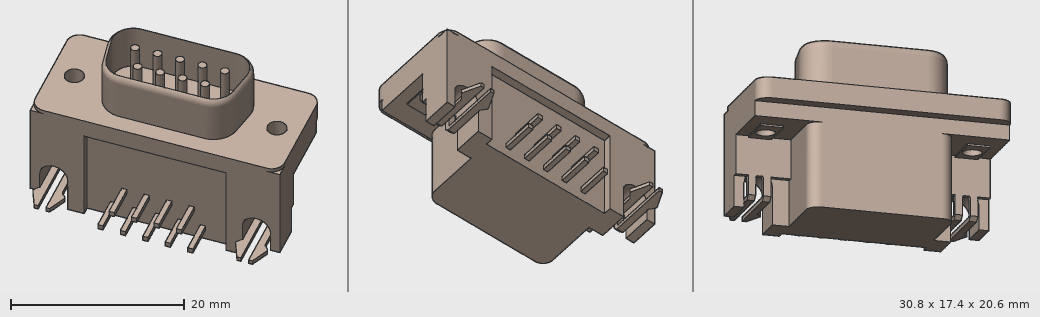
import cadquery as cq
import math


width = 30.8
flange_top = 14.67
flange_thickness = 2.53
flange_corner = 1.6
flange_back = 13.55
block_back = flange_back - flange_corner
block_bottom = 10.32
corner_notch_depth = 0.5

wall_depth = 4.5
wall_step_z = 5.58
lower_wall_depth = 3.85
ear_bottom = 1.82
foot_width = 21.57

insulator_width = 17.5
insulator_corner = 1.45
recess_depth = 1.0
recess_top = 12.25

shell_center_y = 6.75
shell_mean_width = 17.25
shell_depth = 9.18
shell_tilt = math.radians(10)
shell_corner = 3.05
shell_wall = 0.45
shell_top = 20.65
rim_radius = 1.1

pitch = 2.77
row_gap = 2.83
contact_diameter = 1.02
contact_top = 20.18
tail_size = 0.65
tail_length = 3.17
tail_rows = ((5, 1.7), (4, 4.25))

mount_x = 12.5
mount_hole_diameter = 2.3
arch_radius = 1.73
arch_top = 6.25
clip_width = 2.75
clip_slot = 0.95
clip_slot_top = 5.7
clip_bottom = 2.68
clip_thickness = 0.55
clip_outer_bend = 0.52
clip_inner_bend = 0.15
clip_tip_y = -3.82
clip_tip_half_width = 0.95
barb_start_y = -0.77
barb_y = -1.5
barb_round = 0.28
barb_half_width = 2.0
clip_pad_back = 9.25
clip_pad_drop = 0.22


def box(x_size, y_min, y_max, z_min, z_max, x_center=0.0):
    """Block centred on x_center and spanning the given Y and Z ranges."""
    return (
        cq.Workplane("XY")
        .box(x_size, y_max - y_min, z_max - z_min, centered=(True, False, False))
        .translate((x_center, y_min, z_min))
    )


def make_housing():
    """Flange, upper block, front wall, feet and rear insulator."""
    flange_bottom = flange_top - flange_thickness
    flange = box(width, 0, flange_back, flange_bottom, flange_top).edges("|Z").fillet(flange_corner)
    block = box(width, 0, block_back, block_bottom, flange_top - corner_notch_depth)
    wall = box(width, 0, wall_depth, wall_step_z, block_bottom)
    ears = box(width, 0, lower_wall_depth, ear_bottom, wall_step_z)
    feet = box(foot_width, 0, lower_wall_depth, 0, ear_bottom)
    insulator = box(insulator_width, 0, block_back, 0, block_bottom)
    insulator = insulator.edges("|Z and >Y").fillet(insulator_corner)
    recess = box(insulator_width, 0, recess_depth, 0, recess_top)
    return flange.union(block).union(wall).union(ears).union(feet).union(insulator).cut(recess)


def shell_prism(inset, z_min, z_max):
    """D-shaped prism, inset evenly from the outside of the shell."""
    half_depth = shell_depth / 2 - inset
    mean_half_width = shell_mean_width / 2 - inset / math.cos(shell_tilt)
    lean = half_depth * math.tan(shell_tilt)
    back_half = mean_half_width + lean
    front_half = mean_half_width - lean
    corners = [
        (-front_half, -half_depth),
        (front_half, -half_depth),
        (back_half, half_depth),
        (-back_half, half_depth),
    ]
    prism = cq.Workplane("XY").polyline(corners).close().extrude(z_max - z_min)
    prism = prism.edges("|Z").fillet(shell_corner - inset)
    return prism.translate((0, shell_center_y, z_min))


def make_shell():
    """Thin shell whose rounded rim is cut off by the inner wall before it becomes flat."""
    rim_rise = math.sqrt(rim_radius**2 - (rim_radius - shell_wall) ** 2)
    full_round_top = shell_top - rim_rise + rim_radius
    outer = shell_prism(0, flange_top, full_round_top).faces(">Z").edges().fillet(rim_radius)
    return outer.cut(shell_prism(shell_wall, flange_top, full_round_top))


def row_positions(count):
    """X places of a centred row of contacts."""
    return [(i - (count - 1) / 2) * pitch for i in range(count)]


def make_contacts():
    """Round mating contacts in the shell."""
    points = []
    for count, side in ((5, 1), (4, -1)):
        y = shell_center_y + side * row_gap / 2
        points += [(x, y) for x in row_positions(count)]
    base = cq.Workplane("XY", origin=(0, 0, flange_top))
    return base.pushPoints(points).circle(contact_diameter / 2).extrude(contact_top - flange_top)


def add_tails(body):
    """Square solder tails that stand out of the recess."""
    for count, z in tail_rows:
        for x in row_positions(count):
            z_min = z - tail_size / 2
            body = body.union(box(tail_size, -tail_length, recess_depth, z_min, z_min + tail_size, x))
    return body


def make_arch(x):
    """Round-topped opening through the lower wall, open at the bottom."""
    center_z = arch_top - arch_radius
    opening = box(2 * arch_radius, 0, lower_wall_depth, 0, center_z, x)
    crown = (
        cq.Workplane("XZ", origin=(x, 0, center_z)).circle(arch_radius).extrude(-lower_wall_depth)
    )
    return opening.union(crown)


def make_clip(x):
    """Bent two-legged board clip: upright plate, barbed legs and a pad under the block."""
    half = clip_width / 2
    clip_top = clip_bottom + clip_thickness
    upright = box(clip_width, lower_wall_depth, wall_depth, clip_bottom, wall_step_z)
    upright = upright.edges("|X and >Y and <Z").chamfer(clip_outer_bend)
    right_side = [
        (half, lower_wall_depth),
        (half, barb_start_y),
        (barb_half_width, barb_y),
        (clip_tip_half_width, clip_tip_y),
    ]
    left_side = [(-px, py) for px, py in reversed(right_side)]
    legs = (
        cq.Workplane("XY", origin=(0, 0, clip_bottom))
        .polyline(right_side + left_side)
        .close()
        .extrude(clip_thickness)
    )
    barb_tips = cq.selectors.BoxSelector(
        (-width, barb_y - barb_round, clip_bottom),
        (width, barb_y + barb_round, clip_top),
    )
    legs = legs.edges("|Z").edges(barb_tips).fillet(barb_round)
    inner_bend = (
        cq.Workplane("YZ", origin=(-half, lower_wall_depth, clip_top))
        .lineTo(-clip_inner_bend, 0)
        .radiusArc((0, clip_inner_bend), -clip_inner_bend)
        .close()
        .extrude(clip_width)
    )
    slot_center_z = clip_slot_top - clip_slot / 2
    slot = box(clip_slot, clip_tip_y, wall_depth, clip_bottom, slot_center_z)
    slot_end = (
        cq.Workplane("XZ", origin=(0, 0, slot_center_z)).circle(clip_slot / 2).extrude(-wall_depth)
    )
    clip = upright.union(legs).union(inner_bend).cut(slot).cut(slot_end)
    pad = box(clip_width, wall_depth, clip_pad_back, block_bottom - clip_pad_drop, block_bottom)
    return clip.union(pad).translate((x, 0, 0))


body = add_tails(make_housing().union(make_shell()).union(make_contacts()))
for mount in (-mount_x, mount_x):
    body = body.cut(make_arch(mount)).union(make_clip(mount))
mount_holes = (
    cq.Workplane("XY", origin=(0, 0, wall_step_z))
    .pushPoints([(-mount_x, shell_center_y), (mount_x, shell_center_y)])
    .circle(mount_hole_diameter / 2)
    .extrude(flange_top - wall_step_z)
)
result = body.cut(mount_holes)